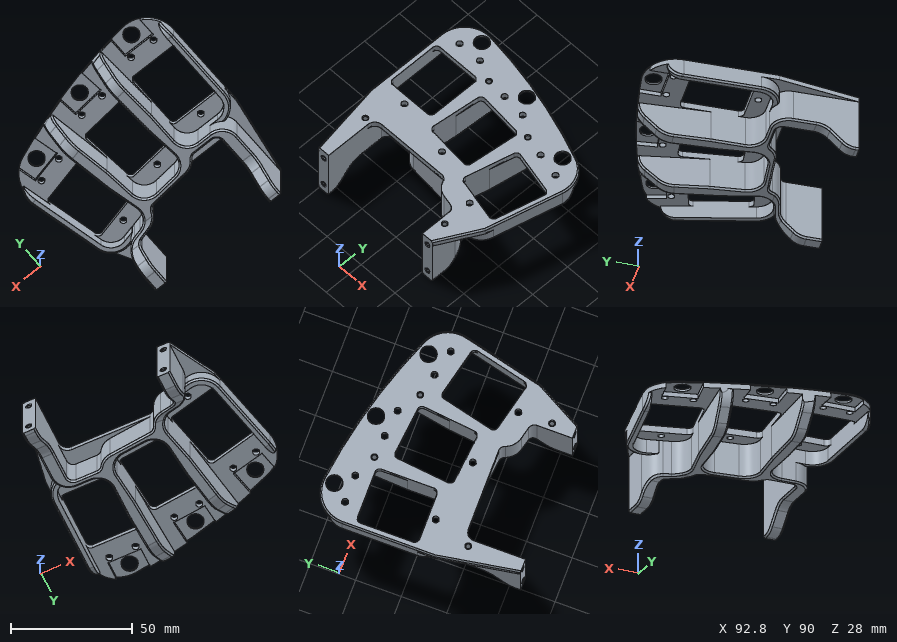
import cadquery as cq
import math

plate_thickness = 3.0
plate_chamfer = 0.7
wall_chamfer = 0.7
rim_depth = 9.0
wall_depth = 18.1
leg_depth = 28.0

overall_width = 92.8
station_turns = [0.0, 6.0, 13.5]

window_width = 24.5
window_length = 27.1
window_center_y = -20.6
window_radius = 2.0
wall_thickness = 2.7
cavity_front_y = -42.0
cavity_radius = 7.0
half_cavity = window_width / 2
half_station = half_cavity + wall_thickness
wall_front_y = cavity_front_y - wall_thickness

mount_hole_diameter = 2.8
mount_pitch = 12.0
front_mount_y = -37.5
shaft_hole_diameter = 7.0
shaft_hole_y = 7.0
shaft_pocket_width = 15.0
shaft_pocket_front = 1.95
shaft_pocket_length = 18.6
shaft_web = 1.0

corner_radius = 14.0
corner_y = -2.0
back_radius = 257.1
left_bend_y = 35.45
right_bend_y = -38.8

leg_width = 6.0
left_leg_x = 5.9
right_leg_x = 67.0
leg_back_radius = 8.0
leg_inner_radius = 3.0
plate_inner_radius = 4.0
left_leg_drop_y = 14.8
right_leg_drop_y = 19.95
drop_radius = 8.0
rib_back_radius = 10.0

step_start_x = 9.4
step_inner_radius = 3.0
step_outer_radius = 8.0

rib_length = 39.0
rib_back_y = [14.3, 14.3]
rim_back_y = 4.4
rim_back_radius = 6.0

screw_diameter = 2.0
screw_mouth = 2.8
screw_depth = 7.4
top_screws = [(8.9, 24.0), (31.0, 73.4), (62.5, 65.05), (70.0, 10.0)]
leg_screw_heights = [-5.0, -23.2]

margin = 4.6
tiny = 0.001
rib_back_corner_z = -plate_thickness - rib_back_radius * math.tan(math.pi / 8)


def place(station, x, y):
    """Turn a point given in a station's own frame into part X, Y."""
    origin_x, origin_y, turn = station
    c = math.cos(math.radians(turn))
    s = math.sin(math.radians(turn))
    return (origin_x + x * c + y * s, origin_y - x * s + y * c)


def from_part(station, x, y):
    """Turn part X, Y into a point in a station's own frame."""
    origin_x, origin_y, turn = station
    return place((0, 0, -turn), x - origin_x, y - origin_y)


def rounded(corners, plane="XY"):
    """Closed outline through (x, y, radius) corners, each rounded by its radius."""
    starts = []
    for i, (x, y, radius) in enumerate(corners):
        point = cq.Vector(x, y)
        before = (cq.Vector(*corners[i - 1][:2]) - point).normalized()
        after = (cq.Vector(*corners[(i + 1) % len(corners)][:2]) - point).normalized()
        half_angle = before.getAngle(after) / 2
        reach = radius / math.tan(half_angle)
        middle_reach = radius / math.sin(half_angle) - radius
        middle = point + (before + after).normalized() * middle_reach if radius else point
        starts.append((point + before * reach, middle, point + after * reach, radius))
    outline = cq.Workplane(plane).moveTo(*starts[-1][2].toTuple()[:2])
    for i, (start, middle, end, radius) in enumerate(starts):
        if (start - starts[i - 1][2]).Length > tiny:
            outline = outline.lineTo(*start.toTuple()[:2])
        if radius:
            outline = outline.threePointArc(middle.toTuple()[:2], end.toTuple()[:2])
    return outline.close()


def under_plate(corners, depth):
    """Rounded outline extruded from the underside of the plate down to a depth."""
    height = depth - plate_thickness
    return rounded(corners).extrude(-height).translate((0, 0, -plate_thickness))


def chamfer_underside(solid):
    """Chamfer the rim of the faces that look down, leaving the front end of the legs sharp."""
    uses = {}
    for face in solid.faces().vals():
        if face.normalAt().z < -0.1:
            for edge in face.Edges():
                uses.setdefault(edge.hashCode(), []).append(edge)
    rim = [edges[0] for edges in uses.values() if len(edges) == 1]
    top = -plate_thickness - tiny
    rim = [edge for edge in rim if edge.Center().z < top and edge.Center().y > tiny]
    return solid.newObject(rim).chamfer(wall_chamfer)


def in_station(solid, station):
    """Move a solid built around the origin into a station's frame."""
    origin_x, origin_y, turn = station
    return solid.rotate((0, 0, 0), (0, 0, 1), -turn).translate((origin_x, origin_y, 0))


def crossing(p, q, x):
    """Y of the line through p and q at the given X."""
    return p[1] + (q[1] - p[1]) * (x - p[0]) / (q[0] - p[0])


right_turn = math.radians(station_turns[2])
corner_x = half_station - corner_radius
third_x = overall_width - corner_radius - corner_x * math.cos(right_turn) - corner_y * math.sin(right_turn)
first = (half_station, 78.0, station_turns[0])
second = (47.0, 72.0, station_turns[1])
third = (third_x, 61.2, station_turns[2])
stations = [first, second, third]
left_corner = place(first, -corner_x, corner_y)
right_corner = place(third, corner_x, corner_y)
left_side_x = left_corner[0] - corner_radius
left_leg_inner = left_leg_x + leg_width
right_leg_outer = right_leg_x + leg_width
left_wall_front = place(first, 0, wall_front_y)[1]
left_cavity_front = place(first, 0, cavity_front_y)[1]


def arc_point(center, radius, angle):
    return (center[0] + radius * math.cos(angle), center[1] + radius * math.sin(angle))


def plate_outline(bottom_z):
    """Plate outline: two corner arcs joined by one wide arc tangent to both."""
    gap_x = right_corner[0] - left_corner[0]
    gap_y = right_corner[1] - left_corner[1]
    half_gap = math.hypot(gap_x, gap_y) / 2
    lean = math.atan2(gap_y, gap_x) + math.pi / 2
    spread = math.asin(half_gap / (back_radius - corner_radius))
    rise = math.sqrt((back_radius - corner_radius) ** 2 - half_gap**2)
    middle = ((left_corner[0] + right_corner[0]) / 2, (left_corner[1] + right_corner[1]) / 2)
    back_center = arc_point(middle, -rise, lean)
    left_end = lean + spread
    right_end = lean - spread
    side = -math.radians(third[2])
    return (
        cq.Workplane("XY")
        .workplane(offset=bottom_z)
        .moveTo(left_leg_x, 0)
        .lineTo(left_side_x, left_bend_y)
        .lineTo(left_side_x, left_corner[1])
        .threePointArc(
            arc_point(left_corner, corner_radius, (math.pi + left_end) / 2),
            arc_point(left_corner, corner_radius, left_end),
        )
        .threePointArc(
            arc_point(back_center, back_radius, lean),
            arc_point(right_corner, corner_radius, right_end),
        )
        .threePointArc(
            arc_point(right_corner, corner_radius, (right_end + side) / 2),
            arc_point(right_corner, corner_radius, side),
        )
        .lineTo(*place(third, half_station, right_bend_y))
        .lineTo(right_leg_outer, 0)
        .close()
    )


def front_step(left, right):
    """Inner and outer corner of a wall step whose two arcs meet without a straight between."""
    inner_center = place(left, step_start_x, wall_front_y - step_inner_radius)
    inner_x, inner_y = from_part(right, *inner_center)
    rise = wall_front_y + step_outer_radius - inner_y
    radii = step_inner_radius + step_outer_radius
    outer_x = inner_x + math.sqrt(radii**2 - rise**2)
    outer_turn = math.acos(rise / radii)
    inner_turn = outer_turn + math.radians(right[2] - left[2])
    inner_corner_x = step_start_x + step_inner_radius * math.tan(inner_turn / 2)
    outer_corner_x = outer_x - step_outer_radius * math.tan(outer_turn / 2)
    return [
        (*place(left, inner_corner_x, wall_front_y), step_inner_radius),
        (*place(right, outer_corner_x, wall_front_y), step_outer_radius),
    ]


def right_wall_end():
    """Corner between the front wall face and the inner side of the right leg."""
    face = [place(third, x, wall_front_y) for x in (-half_cavity, 0)]
    return (right_leg_x, crossing(*face, right_leg_x), leg_inner_radius)


def plate_cutout():
    """Open space between the legs, its right part following the front wall."""
    step_x, edge_y = place(second, step_start_x, wall_front_y)
    corners = [
        (left_leg_inner, -margin, 0),
        (left_leg_inner, edge_y, plate_inner_radius),
        (step_x, edge_y, 0),
        *front_step(second, third),
        right_wall_end(),
        (right_leg_x, -margin, 0),
    ]
    return rounded(corners).extrude(-plate_thickness)


outline_prism = plate_outline(-leg_depth).extrude(leg_depth)
outline_prism = outline_prism.faces(">Z").edges("not <Y").chamfer(plate_chamfer)
plate = outline_prism.intersect(plate_outline(-plate_thickness).extrude(plate_thickness))
plate = plate.cut(plate_cutout())


def rib_corners(left, right):
    """Corners of the rib between two stations; its upper part runs midway between their turns."""
    turn = math.radians(left[2] + right[2]) / 2
    left_bend = place(left, half_cavity, window_center_y)
    right_bend = place(right, -half_cavity, window_center_y)
    run_x = rib_length * math.sin(turn)
    run_y = rib_length * math.cos(turn)
    return [
        (*place(left, half_cavity, cavity_front_y), cavity_radius),
        (*left_bend, 0),
        (left_bend[0] + run_x, left_bend[1] + run_y, 0),
        (right_bend[0] + run_x, right_bend[1] + run_y, 0),
        (*right_bend, 0),
        (*place(right, -half_cavity, cavity_front_y), cavity_radius),
    ]


def wall_prism():
    """Legs, front wall and ribs as one outline, extruded to the foot of the legs."""
    cavity_front = [place(third, x, cavity_front_y) for x in (-half_cavity, 0)]
    corners = [
        (left_leg_x, 0, 0),
        (left_leg_x, left_cavity_front, leg_back_radius),
        *rib_corners(first, second),
        *rib_corners(second, third),
        (right_leg_outer, crossing(*cavity_front, right_leg_outer), leg_back_radius),
        (right_leg_outer, 0, 0),
        (right_leg_x, 0, 0),
        right_wall_end(),
        *reversed(front_step(second, third)),
        *reversed(front_step(first, second)),
        (left_leg_inner, left_wall_front, leg_inner_radius),
        (left_leg_inner, 0, 0),
    ]
    return under_plate(corners, leg_depth)


def leg_drop(drop_y, x_start, x_end):
    """Space under the walls, ending in a 45 degree slope down to the foot of a leg."""
    foot_y = drop_y - (leg_depth - wall_depth)
    far_y = left_corner[1] + 2 * corner_radius
    corners = [
        (far_y, -wall_depth, 0),
        (drop_y, -wall_depth, drop_radius),
        (foot_y, -leg_depth, drop_radius),
        (foot_y - 2 * drop_radius, -leg_depth, 0),
        (foot_y - 2 * drop_radius, -leg_depth - margin, 0),
        (far_y, -leg_depth - margin, 0),
    ]
    return rounded(corners, "YZ").extrude(x_end - x_start).translate((x_start, 0, 0))


def back_cut(corners, station, center_x):
    """Space behind the rounded back end of a rib or rim, given as (y, z, radius) corners."""
    bottom_y = corners[-1][0] - margin
    far_y = corners[0][0] + 2 * margin
    profile = [
        *corners,
        (bottom_y, corners[-1][1], 0),
        (bottom_y, -leg_depth, 0),
        (far_y, -leg_depth, 0),
        (far_y, -plate_thickness, 0),
    ]
    tool = rounded(profile, "YZ").extrude(window_width)
    return in_station(tool.translate((center_x - half_cavity, 0, 0)), station)


def rib_back(back_y):
    """Corners of a rib's back end: a 45 degree slope between two round corners."""
    slope_length = wall_depth + rib_back_corner_z
    return [
        (back_y, -plate_thickness, 0),
        (back_y, rib_back_corner_z, rib_back_radius),
        (back_y - slope_length, -wall_depth, rib_back_radius),
    ]


middle_x = (left_leg_x + right_leg_outer) / 2
walls = wall_prism()
walls = walls.cut(leg_drop(left_leg_drop_y, -margin, middle_x))
walls = walls.cut(leg_drop(right_leg_drop_y, middle_x, 2 * middle_x + margin))
for back_y, station in zip(rib_back_y, stations[1:]):
    walls = walls.cut(back_cut(rib_back(back_y), station, -half_station))
walls = chamfer_underside(walls.clean())


def rim(station, side):
    """Rim along the outer side of a window; side is -1 for left and 1 for right."""
    outside = [
        (0, rim_back_y, 0),
        (side * half_station, rim_back_y, 0),
        (side * half_station, wall_front_y, cavity_radius + wall_thickness),
        (0, wall_front_y, 0),
    ]
    inside = [
        (-side * half_cavity, rim_back_y, 0),
        (side * half_cavity, rim_back_y, 0),
        (side * half_cavity, cavity_front_y, cavity_radius),
        (-side * half_cavity, cavity_front_y, 0),
    ]
    back = [
        (rim_back_y, -plate_thickness, 0),
        (rim_back_y, -rim_depth, rim_back_radius),
    ]
    block = in_station(under_plate(outside, rim_depth), station).intersect(outline_prism)
    block = block.cut(back_cut(back, station, side * half_cavity))
    return chamfer_underside(block).cut(in_station(under_plate(inside, rim_depth), station))


def drilled(diameter, x, y):
    return cq.Workplane("XY").center(x, y).circle(diameter / 2).extrude(-plate_thickness)


def station_openings():
    """Window, shaft hole with its pocket open to the back, and three mounting holes."""
    window = (
        cq.Workplane("XY")
        .center(0, window_center_y)
        .rect(window_width, window_length)
        .extrude(-plate_thickness)
        .edges("|Z")
        .fillet(window_radius)
    )
    pocket = cq.Workplane("XY").box(
        shaft_pocket_width,
        shaft_pocket_length,
        plate_thickness - shaft_web,
        centered=(True, False, False),
    )
    openings = window.union(pocket.translate((0, shaft_pocket_front, -plate_thickness)))
    openings = openings.union(drilled(shaft_hole_diameter, 0, shaft_hole_y))
    mounts = [(-mount_pitch / 2, 0), (mount_pitch / 2, 0), (0, front_mount_y)]
    for x, y in mounts:
        openings = openings.union(drilled(mount_hole_diameter, x, y))
    return openings


def screw_hole():
    """Blind hole going down from the origin, with a flared mouth and a drill point."""
    radius = screw_diameter / 2
    mouth = screw_mouth / 2
    return (
        cq.Workplane("XZ")
        .moveTo(0, 0)
        .lineTo(mouth, 0)
        .lineTo(radius, radius - mouth)
        .lineTo(radius, -screw_depth)
        .lineTo(0, -screw_depth - radius)
        .close()
        .revolve(360, (0, 0, 0), (0, 1, 0))
    )


result = plate.union(walls.intersect(outline_prism)).union(rim(first, -1)).union(rim(third, 1))
for station in stations:
    result = result.cut(in_station(station_openings(), station))
for x, y in top_screws:
    result = result.cut(screw_hole().translate((x, y, 0)))
end_screw = screw_hole().rotate((0, 0, 0), (1, 0, 0), 90)
for leg_x in (left_leg_x, right_leg_x):
    for height in leg_screw_heights:
        result = result.cut(end_screw.translate((leg_x + leg_width / 2, 0, height)))